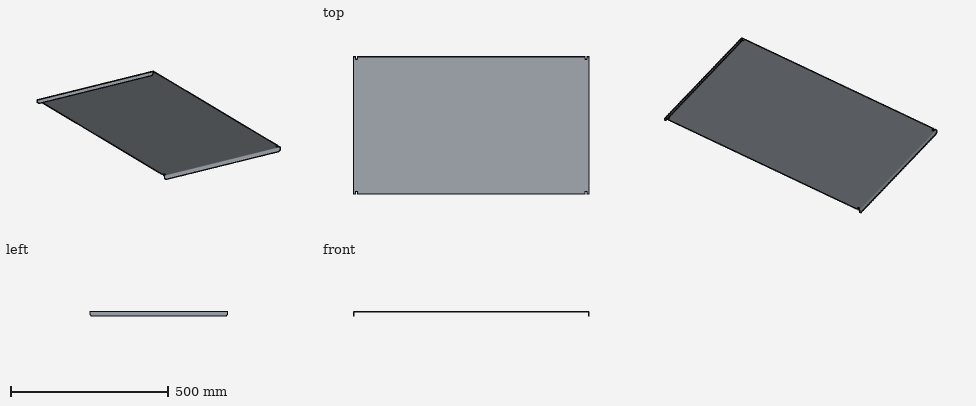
import cadquery as cq

length = 748.0
width = 437.0
height = 15.0

thickness = 1.5
bend_outer_radius = 3.0
bend_inner_radius = bend_outer_radius - thickness
flange_chamfer = 5.0

notch_offset = 7.1
notch_width = 5.0
notch_depth = 8.0


def channel_block(block_length, block_height, bend_radius):
    """Block standing on Z = 0 with its two upper end edges rounded."""
    block = cq.Workplane("XY").box(block_length, width, block_height, centered=(True, True, False))
    return block.edges("|Y and >Z").fillet(bend_radius)


def folded_panel():
    """Constant-thickness inverted channel, open underneath."""
    outside = channel_block(length, height, bend_outer_radius)
    inside = channel_block(length - 2 * thickness, height - thickness, bend_inner_radius)
    return outside.cut(inside)


def chamfer_flanges(panel):
    """Bevel the lower corners of both flanges."""
    for side in (-1, 1):
        edge = side * width / 2
        corner = (
            cq.Workplane("YZ")
            .moveTo(edge, 0)
            .lineTo(edge - side * flange_chamfer, 0)
            .lineTo(edge, flange_chamfer)
            .close()
            .extrude(length / 2, both=True)
        )
        panel = panel.cut(corner)
    return panel


def cut_notches(panel):
    """Cut one square-ended notch near each corner of the top sheet."""
    notch_x = length / 2 - notch_offset - notch_width / 2
    notch_y = width / 2 - notch_depth / 2
    notches = (
        cq.Workplane("XY")
        .rect(2 * notch_x, 2 * notch_y, forConstruction=True)
        .vertices()
        .rect(notch_width, notch_depth)
        .extrude(height)
    )
    return panel.cut(notches)


result = cut_notches(chamfer_flanges(folded_panel())).translate((0, 0, -height))